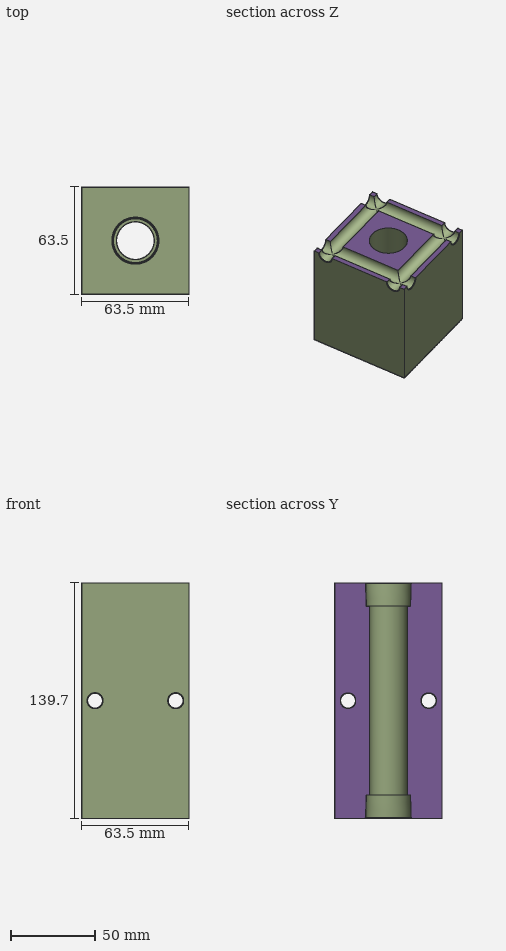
import cadquery as cq

block_width = 63.5
block_length = 139.7

bore_diameter = 22.2
port_mouth_diameter = 28.0
port_chamfer = 0.5
port_floor_diameter = 26.0
port_depth = 13.8

cross_hole_diameter = 8.8
cross_hole_spacing = 47.8
cross_hole_chamfer = 0.35


def main_bore():
    """Cutter for the bore and both end ports, revolved about Z."""
    half_length = block_length / 2
    bore_radius = bore_diameter / 2
    mouth_radius = port_mouth_diameter / 2
    port_radius = mouth_radius - port_chamfer
    floor_radius = port_floor_diameter / 2
    chamfer_end = half_length - port_chamfer
    port_floor = half_length - port_depth
    upper_half = (
        cq.Workplane("XZ")
        .polyline(
            [
                (0, 0),
                (bore_radius, 0),
                (bore_radius, port_floor),
                (floor_radius, port_floor),
                (port_radius, chamfer_end),
                (mouth_radius, half_length),
                (0, half_length),
            ]
        )
        .close()
        .revolve(360, (0, 0, 0), (0, 1, 0))
    )
    return upper_half.union(upper_half.mirror("XY"))


def cross_hole(plane, offset):
    """Cutter for one through hole normal to the plane, with both mouths chamfered."""
    half_length = block_width / 2
    radius = cross_hole_diameter / 2
    mouth_radius = radius + cross_hole_chamfer
    hole = cq.Workplane(plane).center(offset, 0).circle(radius).extrude(half_length, both=True)
    for end in (-1, 1):
        chamfer_cone = (
            cq.Workplane(plane)
            .workplane(offset=end * half_length)
            .center(offset, 0)
            .circle(mouth_radius)
            .workplane(offset=-end * cross_hole_chamfer)
            .circle(radius)
            .loft()
        )
        hole = hole.union(chamfer_cone)
    return hole


result = cq.Workplane("XY").box(block_width, block_width, block_length)
result = result.cut(main_bore())
for hole_plane in ("XZ", "YZ"):
    for side in (-1, 1):
        result = result.cut(cross_hole(hole_plane, side * cross_hole_spacing / 2))